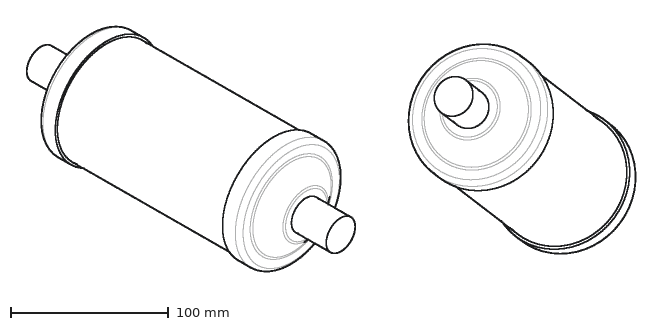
import cadquery as cq

length = 270.0

tube_radius = 13.0
cone_small_radius = 19.5
cone_large_radius = 35.6
shell_radius = 44.5
cap_radius = 46.5

tube_length = 31.3
cone_length = 13.5
cap_length = 14.8

cap_fillet = 3.5
cone_fillet = 2.7

half_length = length / 2
cone_outer_x = half_length - tube_length
cap_outer_x = cone_outer_x - cone_length
cap_inner_x = cap_outer_x - cap_length


def revolved_body():
    """Revolve the shell, caps, cones and connection tubes about the X axis."""
    end_profile = [
        (cap_inner_x, shell_radius),
        (cap_inner_x, cap_radius),
        (cap_outer_x, cap_radius),
        (cap_outer_x, cone_large_radius),
        (cone_outer_x, cone_small_radius),
        (cone_outer_x, tube_radius),
        (half_length, tube_radius),
        (half_length, 0),
    ]
    mirrored_profile = [(-x, radius) for x, radius in reversed(end_profile)]
    outline = mirrored_profile + end_profile
    return cq.Workplane("XY").polyline(outline).close().revolve(360, (0, 0, 0), (1, 0, 0))


def round_rims(body, x, radius, fillet_radius):
    """Fillet the circular edges of the given radius at stations x and -x."""
    tolerance = 0.03
    rims = [
        edge
        for edge in body.edges("%CIRCLE").vals()
        if abs(abs(edge.Center().x) - x) < tolerance and abs(edge.radius() - radius) < tolerance
    ]
    return body.newObject(rims).fillet(fillet_radius)


result = revolved_body()
result = round_rims(result, cap_outer_x, cap_radius, cap_fillet)
result = round_rims(result, cap_outer_x, cone_large_radius, cone_fillet)
result = round_rims(result, cone_outer_x, cone_small_radius, cone_fillet)